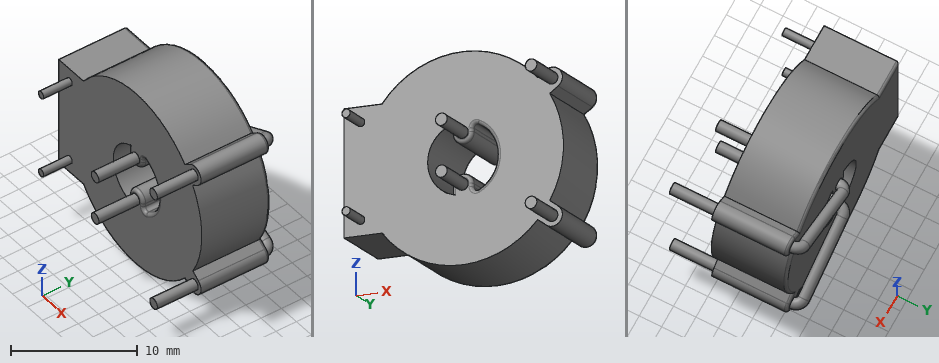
import cadquery as cq
import math

BODY_DIAMETER = 17.5
BODY_RADIUS = BODY_DIAMETER / 2
BODY_DEPTH = 6.7
OVERALL_LENGTH = 19.0
BLOCK_REACH = OVERALL_LENGTH - BODY_RADIUS
BLOCK_HALF_HEIGHT = 5.3
BACK_FILLET = 0.25

WALL_RADIUS = 0.9
LUG_DISTANCE = 9.6
LUG_ANGLE = 36.0

BORE_RADIUS = 3.0
BORE_FILLET = 0.3
BORE_CORNER_RADIUS = 0.3
INNER_WIRE_Z = 2.13

WIRE_DIAMETER = 1.0
WIRE_PIN_LENGTH = 3.99
WIRE_BACK = 7.9
BRIDGE_Y = WIRE_BACK - WIRE_DIAMETER / 2
WIRE_BEND_RADIUS = BRIDGE_Y - BODY_DEPTH

SHORT_PIN_DIAMETER = 0.7
SHORT_PIN_LENGTH = 2.8
SHORT_PIN_X = -8.8
SHORT_PIN_Z = 4.0

OVERLAP = 0.19
SIDES = (1, -1)

LUG_X = LUG_DISTANCE * math.cos(math.radians(LUG_ANGLE))
LUG_Z = LUG_DISTANCE * math.sin(math.radians(LUG_ANGLE))


def front_plane(y=0.0):
    """Sketch plane with local x along X and local y along Z; positive extrusion goes to -Y."""
    return cq.Plane(origin=(0, y, 0), xDir=(1, 0, 0), normal=(0, -1, 0))


def extrude_back(sketch):
    """Extrude a sketch from the mounting face through the body depth."""
    return sketch.extrude(-BODY_DEPTH)


def make_wire_wall(side, start, end):
    """Slab with a round end at `end`, running from `start`; points are (x, z) in the upper half."""
    (x0, z0), (x1, z1) = start, end
    length = math.hypot(x1 - x0, z1 - z0)
    across_x = -(z1 - z0) / length * WALL_RADIUS
    across_z = (x1 - x0) / length * WALL_RADIUS
    slab = (
        cq.Workplane(front_plane())
        .polyline([
            (x0 + across_x, side * (z0 + across_z)),
            (x1 + across_x, side * (z1 + across_z)),
            (x1 - across_x, side * (z1 - across_z)),
            (x0 - across_x, side * (z0 - across_z)),
        ])
        .close()
    )
    round_end = cq.Workplane(front_plane()).center(x1, side * z1).circle(WALL_RADIUS)
    return extrude_back(slab).union(extrude_back(round_end))


def make_bore():
    """Round bore that leaves a housing around each inner wire leg."""
    bore = extrude_back(cq.Workplane(front_plane()).circle(BORE_RADIUS))
    for side in SIDES:
        bore = bore.cut(make_wire_wall(side, (0, BODY_RADIUS), (0, INNER_WIRE_Z)))
    corner_z = math.sqrt(BORE_RADIUS**2 - WALL_RADIUS**2)
    for side in SIDES:
        corner = (WALL_RADIUS, BODY_DEPTH / 2, side * corner_z)
        bore = bore.edges(cq.NearestToPointSelector(corner)).fillet(BORE_CORNER_RADIUS)
    return bore


def make_body():
    """Ring body with a square block on -X, two lugs on +X and a bore."""
    body = extrude_back(cq.Workplane(front_plane()).circle(BODY_RADIUS))
    block = cq.Workplane(front_plane()).center(-BLOCK_REACH / 2, 0).rect(BLOCK_REACH, 2 * BLOCK_HALF_HEIGHT)
    body = body.union(extrude_back(block))
    for side in SIDES:
        body = body.union(make_wire_wall(side, (0, 0), (LUG_X, LUG_Z)))
    body = body.faces(">Y").edges().fillet(BACK_FILLET)
    body = body.cut(make_bore())

    bore_rim = body.faces("<Y").val().innerWires()[0]
    rounded = [edge for edge in bore_rim.Edges() if edge.Center().x > -BORE_RADIUS / 2]
    return body.newObject(rounded).fillet(BORE_FILLET)


def make_winding_wire(side):
    """Bent wire: inner leg, bridge across the back of the body, outer leg."""
    run_x, run_z = LUG_X, LUG_Z - INNER_WIRE_Z
    run = math.hypot(run_x, run_z)
    bridge_plane = cq.Plane(
        origin=(0, 0, side * INNER_WIRE_Z),
        xDir=(run_x, 0, side * run_z),
        normal=(-side * run_z, 0, run_x),
    )
    path = (
        cq.Workplane(bridge_plane)
        .moveTo(0, -WIRE_PIN_LENGTH)
        .lineTo(0, BODY_DEPTH)
        .tangentArcPoint((WIRE_BEND_RADIUS, BRIDGE_Y), relative=False)
        .lineTo(run - WIRE_BEND_RADIUS, BRIDGE_Y)
        .tangentArcPoint((run, BODY_DEPTH), relative=False)
        .lineTo(run, -WIRE_PIN_LENGTH)
    )
    section = (
        cq.Workplane(front_plane(-WIRE_PIN_LENGTH))
        .center(0, side * INNER_WIRE_Z)
        .circle(WIRE_DIAMETER / 2)
    )
    return section.sweep(path)


def make_short_pins():
    """Two thin pins under the square block."""
    return (
        cq.Workplane(front_plane(OVERLAP))
        .pushPoints([(SHORT_PIN_X, side * SHORT_PIN_Z) for side in SIDES])
        .circle(SHORT_PIN_DIAMETER / 2)
        .extrude(SHORT_PIN_LENGTH + OVERLAP)
    )


result = make_body().union(make_short_pins())
for wire_side in SIDES:
    result = result.union(make_winding_wire(wire_side))